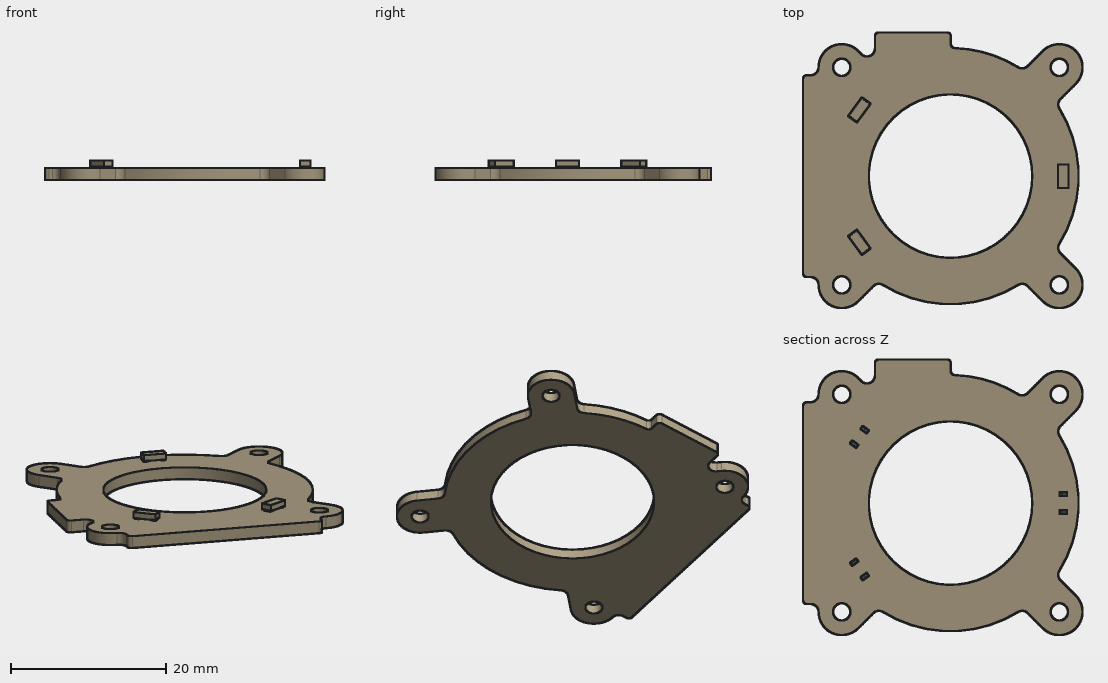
import cadquery as cq
import math

board_thickness = 1.6
ring_radius = 16.5
bore_diameter = 21.0

hole_offset = 14.0
hole_diameter = 2.2
ear_radius = 3.0
ear_distance = math.hypot(hole_offset, hole_offset)
ear_angles = (45, 135, 225, 315)

side_left = -19.0
side_half_height = 13.0

tab_left = -9.75
tab_right = 0.05
tab_top = 18.5

outer_corner_radius = 0.5
tab_root_radius = 0.5
inner_corner_radius = 1.0

chip_width = 1.4
chip_length = 3.0
chip_height = 0.8
chip_distance = 14.5
chip_angles = (0, 144, 216)
pad_height = 0.15
pad_length = 0.5
pad_width = 1.0
pad_end_inset = 0.1
pad_ends = (-1, 1)


def rectangle_plate(left, right, bottom, top):
    """Plate of board thickness between the given X and Y limits."""
    return cq.Workplane("XY").box(
        right - left, top - bottom, board_thickness, centered=False
    ).translate((left, bottom, 0))


def round_plate(radius):
    """Disc of board thickness at the origin."""
    return cq.Workplane("XY").circle(radius).extrude(board_thickness)


def polar_point(distance, side_step, angle):
    """Point at a distance along a direction, then stepped to its left."""
    turn = math.radians(angle)
    x = distance * math.cos(turn) - side_step * math.sin(turn)
    y = distance * math.sin(turn) + side_step * math.cos(turn)
    return x, y


def ear(angle):
    """Straight arm with a round end, reaching out from the centre."""
    arm = rectangle_plate(0, ear_distance, -ear_radius, ear_radius)
    tip = round_plate(ear_radius).translate((ear_distance, 0, 0))
    return arm.union(tip).rotate((0, 0, 0), (0, 0, 1), angle)


def round_corners(body, corners, radius):
    """Fillet the upright edges that stand at the given XY points."""
    edges = cq.Workplane("XY")
    for x, y in corners:
        point = (x, y, board_thickness / 2)
        edges = edges.add(body.edges("|Z").edges(cq.NearestToPointSelector(point)))
    return body.newObject(edges.vals()).fillet(radius)


def make_board():
    """Ring with four ears, a straight side and a tab, bored and drilled."""
    body = round_plate(ring_radius)
    body = body.union(rectangle_plate(side_left, 0, -side_half_height, side_half_height))
    body = body.union(rectangle_plate(tab_left, tab_right, 0, tab_top))
    for angle in ear_angles:
        body = body.union(ear(angle))

    arm_root = math.sqrt(ring_radius**2 - ear_radius**2)
    arm_sides = ((45, 1), (45, -1), (225, 1), (315, 1), (315, -1))
    inner_corners = [polar_point(arm_root, side * ear_radius, angle) for angle, side in arm_sides]

    arm_edge_sum = ear_radius * math.sqrt(2)
    inner_corners.append((tab_left, arm_edge_sum - tab_left))

    ear_half_chord = math.sqrt(ear_radius**2 - (hole_offset - side_half_height) ** 2)
    for y in (-side_half_height, side_half_height):
        inner_corners.append((-hole_offset - ear_half_chord, y))

    outer_corners = [
        (side_left, -side_half_height),
        (side_left, side_half_height),
        (tab_left, tab_top),
        (tab_right, tab_top),
    ]
    body = round_corners(body, inner_corners, inner_corner_radius)
    body = round_corners(body, outer_corners, outer_corner_radius)
    body = round_corners(body, [(tab_right, ring_radius)], tab_root_radius)

    body = body.cut(round_plate(bore_diameter / 2))
    for angle in ear_angles:
        x, y = polar_point(ear_distance, 0, angle)
        body = body.cut(round_plate(hole_diameter / 2).translate((x, y, 0)))
    return body


def place_on_board(body, angle):
    """Move a body from the origin to a chip position on the board's top face."""
    moved = body.translate((chip_distance, 0, board_thickness))
    return moved.rotate((0, 0, 0), (0, 0, 1), angle)


def make_chip(angle):
    """Rectangular chip standing on its pads, its length along the ring."""
    chip = cq.Workplane("XY").box(chip_width, chip_length, chip_height, centered=(True, True, False))
    return place_on_board(chip.translate((0, 0, pad_height)), angle)


def make_pad(angle, end):
    """Solder pad under one end of a chip, set in from its outline."""
    pad = cq.Workplane("XY").box(pad_width, pad_length, pad_height, centered=(True, True, False))
    pad_center = end * (chip_length / 2 - pad_end_inset - pad_length / 2)
    return place_on_board(pad.translate((0, pad_center, 0)), angle)


board = make_board()
chips = [make_chip(angle) for angle in chip_angles]
pads = [make_pad(angle, end) for angle in chip_angles for end in pad_ends]

result = cq.Compound.makeCompound([body.val() for body in [board, *chips, *pads]])